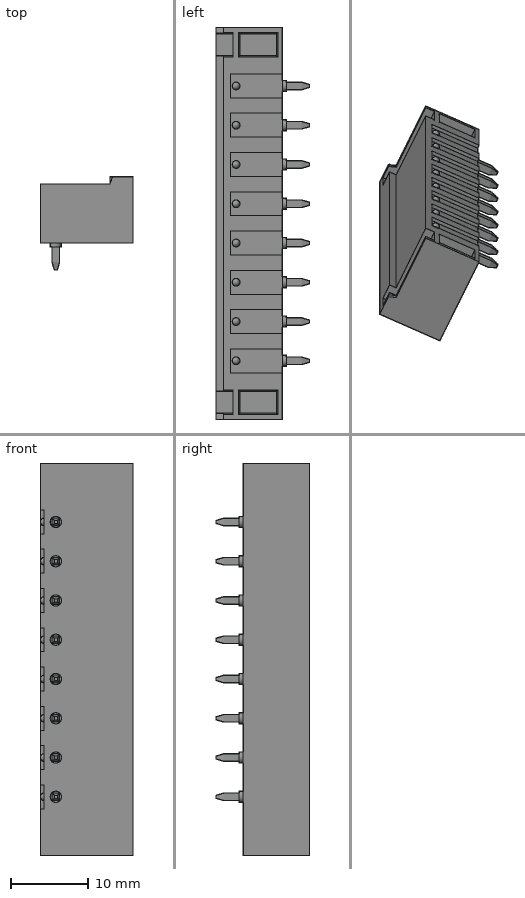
import cadquery as cq
import math

LENGTH_X = 12.0
BODY_Y = 7.65
HEIGHT_Z = 50.75
HALF_Z = HEIGHT_Z / 2

RIDGE_X = 9.0
RIDGE_Y = 8.6
END_CAP_Z = 0.75
END_CAP_LEAN = 0.35

PIN_COUNT = 8
PITCH = 5.08
PIN_X = 2.0

PIN_TIP_Y = -3.5
PIN_TAPER_LENGTH = 1.0
PIN_WIDTH = 1.0
PIN_TIP_WIDTH = 0.4
COLLAR_DIAMETER = 1.45
COLLAR_LENGTH = 0.5

RECESS_DEPTH = 0.45
RECESS_Y = 6.75
RECESS_Z = 3.1
DOME_Y = 6.0
DOME_RADIUS = 0.5

OPENING_DEPTH = 11.0
OPENING_DRAFT = 0.2
OPENING_END_WALL = 0.65
OPENING_Z = 3.2
POCKET_Y_MIN = 0.6
POCKET_Y_MAX = 5.7
SLOT_FLOOR_Y = 6.4


def box(x_range, y_range, z_range):
    """Axis-aligned box from its (min, max) ranges."""
    sizes = [high - low for low, high in (x_range, y_range, z_range)]
    corner = (x_range[0], y_range[0], z_range[0])
    return cq.Workplane("XY").box(*sizes, centered=False).translate(corner)


def drafted_opening(y_range, z_center):
    """Rectangular opening that narrows by the draft on every side towards +X."""
    width = y_range[1] - y_range[0]
    angle = math.degrees(math.atan(OPENING_DRAFT / OPENING_DEPTH))
    mouth = cq.Workplane("YZ").center(sum(y_range) / 2, z_center).rect(width, OPENING_Z)
    return mouth.extrude(OPENING_DEPTH, taper=angle)


def open_slot(z_center):
    """Slot open to +Y whose two Z walls narrow by the draft towards +X."""
    mouth = OPENING_Z / 2
    floor = mouth - OPENING_DRAFT
    outline = [(0, -mouth), (OPENING_DEPTH, -floor), (OPENING_DEPTH, floor), (0, mouth)]
    slot = cq.Workplane("XZ").polyline(outline).close().extrude(SLOT_FLOOR_Y - RIDGE_Y)
    return slot.translate((0, SLOT_FLOOR_Y, z_center))


def end_cap_cut(side):
    """Wedge that makes the face of the ridge lean on the end cap at +Z or -Z."""
    outline = [(RIDGE_X, BODY_Y), (RIDGE_X + END_CAP_LEAN, RIDGE_Y), (RIDGE_X, RIDGE_Y)]
    wedge = cq.Workplane("XY").polyline(outline).close().extrude(END_CAP_Z, both=True)
    return wedge.translate((0, 0, side * HALF_Z))


def housing():
    """Block with its ridge and the latch openings at both ends."""
    z_range = (-HALF_Z, HALF_Z)
    block = box((0, LENGTH_X), (0, BODY_Y), z_range)
    block = block.union(box((RIDGE_X, LENGTH_X), (0, RIDGE_Y), z_range))
    for side in (-1, 1):
        z_center = side * (HALF_Z - OPENING_END_WALL - OPENING_Z / 2)
        block = block.cut(drafted_opening((POCKET_Y_MIN, POCKET_Y_MAX), z_center))
        block = block.cut(open_slot(z_center))
        block = block.cut(end_cap_cut(side))
    return block


def contact_recess(z):
    """Shallow recess on the -X face, open to -Y."""
    return box((0, RECESS_DEPTH), (0, RECESS_Y), (z - RECESS_Z / 2, z + RECESS_Z / 2))


def contact_dome(z):
    """Dome whose crown stays within the -X face, sunk into the housing behind it."""
    return cq.Workplane("XY").sphere(DOME_RADIUS).translate((DOME_RADIUS, DOME_Y, z))


def solder_pin(z):
    """Round collar, square shank and tapered tip, running to -Y."""
    collar = cq.Workplane("XZ").circle(COLLAR_DIAMETER / 2).extrude(COLLAR_LENGTH)
    shank_length = -PIN_TIP_Y - PIN_TAPER_LENGTH
    shank = cq.Workplane("XZ").rect(PIN_WIDTH, PIN_WIDTH).extrude(shank_length)
    tip = (
        cq.Workplane("XZ", origin=(0, -shank_length, 0))
        .rect(PIN_WIDTH, PIN_WIDTH)
        .workplane(offset=PIN_TAPER_LENGTH)
        .rect(PIN_TIP_WIDTH, PIN_TIP_WIDTH)
        .loft()
    )
    return collar.union(shank).union(tip).translate((PIN_X, 0, z))


result = housing()
for index in range(PIN_COUNT):
    contact_z = (index - (PIN_COUNT - 1) / 2) * PITCH
    result = result.cut(contact_recess(contact_z))
    result = result.union(contact_dome(contact_z))
    result = result.union(solder_pin(contact_z))